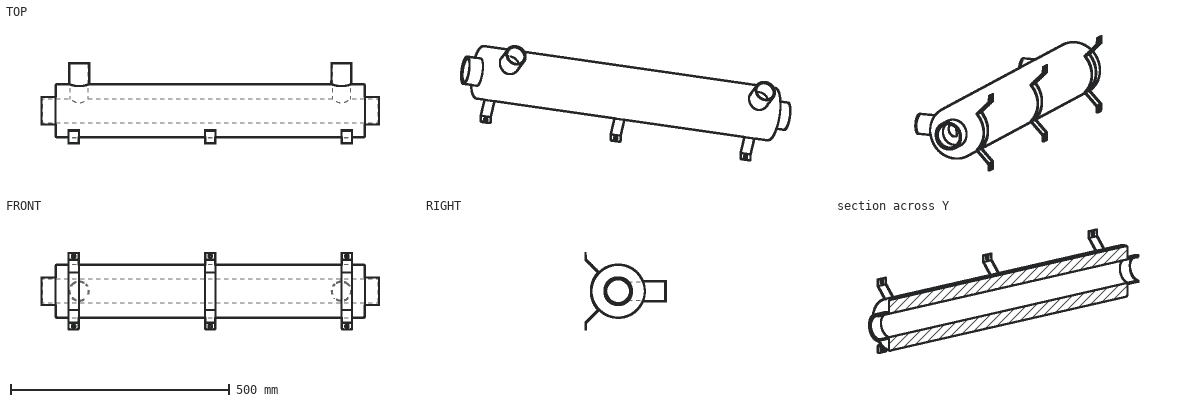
import cadquery as cq
import math

OVERALL_LENGTH = 774.0
AXIAL_BORE = 55.0
SHELL_DIAMETER = 122.0
SHELL_END_DIAMETER = 112.0
SHELL_LENGTH = 710.0
SHELL_END_RADIUS = (SHELL_DIAMETER - SHELL_END_DIAMETER) / 2

PIPE_DIAMETER = 63.5
PIPE_MOUTH_DIAMETER = 59.5
PIPE_LENGTH = (OVERALL_LENGTH - SHELL_LENGTH) / 2
PIPE_CHAMFER = (PIPE_MOUTH_DIAMETER - AXIAL_BORE) / 2

NOZZLE_DIAMETER = 46.5
NOZZLE_BORE = 42.0
NOZZLE_CHAMFER = 1.9
NOZZLE_REACH = 110.0
NOZZLE_SPACING = 601.5

STRAP_PITCH = 313.5
STRAP_WIDTH = 24.0
STRAP_THICKNESS = 1.5
LEG_ANGLE = 45.0
FOOT_FACE_Y = -75.0
STRAP_HEIGHT = 176.0
FOOT_BEND_Z = 72.0
FOOT_CORNER_RADIUS = 4.0
FOOT_HOLE_DIAMETER = 7.0
FOOT_HOLE_Z = 80.5

INNER_EDGE = cq.selectors.RadiusNthSelector(0)


def make_shell():
    """Shell with its two nozzles, chamfered inside the mouth; each nozzle bore opens into the axial bore."""
    shell = cq.Workplane("YZ").circle(SHELL_DIAMETER / 2).extrude(SHELL_LENGTH / 2, both=True)
    shell = shell.faces("<X or >X").fillet(SHELL_END_RADIUS)
    nozzle_centres = [(-NOZZLE_SPACING / 2, 0), (NOZZLE_SPACING / 2, 0)]
    side = cq.Workplane("XZ").pushPoints(nozzle_centres)
    shell = shell.union(side.circle(NOZZLE_DIAMETER / 2).extrude(-NOZZLE_REACH))
    shell = shell.cut(side.circle(NOZZLE_BORE / 2).extrude(-NOZZLE_REACH))
    shell = shell.faces(">Y").edges(INNER_EDGE).chamfer(NOZZLE_CHAMFER)
    bore = cq.Workplane("YZ").circle(AXIAL_BORE / 2).extrude(SHELL_LENGTH / 2, both=True)
    return shell.cut(bore)


def make_end_pipe(side):
    """Tube on one end face, chamfered inside its mouth; side is -1 for the -X end and +1 for the +X end."""
    start = cq.Workplane("YZ", origin=(side * SHELL_LENGTH / 2, 0, 0))
    pipe = start.circle(PIPE_DIAMETER / 2).circle(AXIAL_BORE / 2).extrude(side * PIPE_LENGTH)
    open_end = pipe.faces(">X" if side > 0 else "<X")
    return open_end.edges(INNER_EDGE).chamfer(PIPE_CHAMFER)


def make_strap(x):
    """Constant-thickness strip: foot, sloping leg, arc on the shell, leg, foot."""
    slope = math.radians(LEG_ANGLE)
    inner = SHELL_DIAMETER / 2
    outer = inner + STRAP_THICKNESS
    foot_back_y = FOOT_FACE_Y + STRAP_THICKNESS
    bend_offset = STRAP_THICKNESS * math.tan(slope / 2)
    top_z = STRAP_HEIGHT / 2

    leg_start = FOOT_FACE_Y + FOOT_BEND_Z
    lower_y = (leg_start - math.sqrt(2 * outer**2 - leg_start**2)) / 2
    lower_z = leg_start - lower_y
    upper_start = leg_start + STRAP_THICKNESS / math.cos(slope)
    upper_y = (upper_start - math.sqrt(2 * inner**2 - upper_start**2)) / 2
    upper_z = upper_start - upper_y

    strap = (
        cq.Workplane("YZ", origin=(x - STRAP_WIDTH / 2, 0, 0))
        .moveTo(FOOT_FACE_Y, top_z)
        .lineTo(FOOT_FACE_Y, FOOT_BEND_Z)
        .lineTo(lower_y, lower_z)
        .threePointArc((-outer, 0), (lower_y, -lower_z))
        .lineTo(FOOT_FACE_Y, -FOOT_BEND_Z)
        .lineTo(FOOT_FACE_Y, -top_z)
        .lineTo(foot_back_y, -top_z)
        .lineTo(foot_back_y, -FOOT_BEND_Z - bend_offset)
        .lineTo(upper_y, -upper_z)
        .threePointArc((-inner, 0), (upper_y, upper_z))
        .lineTo(foot_back_y, FOOT_BEND_Z + bend_offset)
        .close()
        .extrude(STRAP_WIDTH)
    )
    strap = strap.faces("<Z or >Z").edges("|Y").fillet(FOOT_CORNER_RADIUS)
    hole_centres = [(x, -FOOT_HOLE_Z), (x, FOOT_HOLE_Z)]
    holes = (
        cq.Workplane("XZ", origin=(0, FOOT_FACE_Y, 0))
        .pushPoints(hole_centres)
        .circle(FOOT_HOLE_DIAMETER / 2)
        .extrude(-STRAP_THICKNESS)
    )
    return strap.cut(holes)


shell = make_shell()
end_pipes = [make_end_pipe(side) for side in (-1, 1)]
straps = [make_strap(i * STRAP_PITCH) for i in (-1, 0, 1)]

bodies = [shell, *end_pipes, *straps]
result = cq.Compound.makeCompound([body.val() for body in bodies])